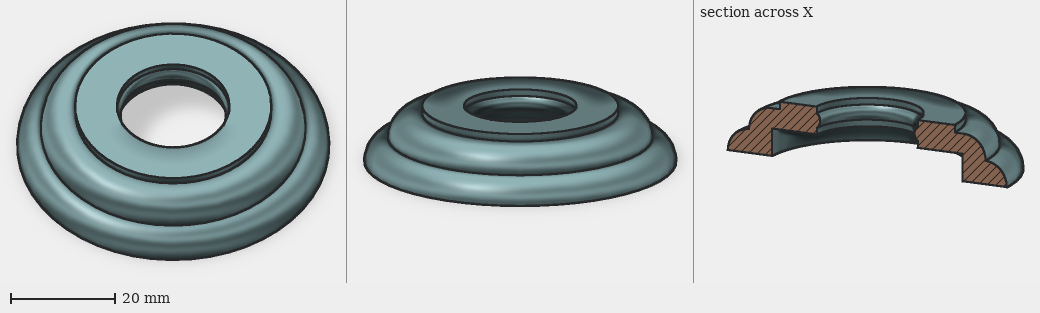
import cadquery as cq

base_radius = 29.95
upper_radius = 25.4
cap_radius = 18.8
total_height = 11.1
tier_height = 4.8
round_radius = tier_height

bore_radius = 10.8
bead_inner_radius = 10.05
bore_length = 5.65
bead_height = 3.0

recess_radius = 20.4

shoulder_height = 2 * tier_height
recess_top = total_height - bore_length
bead_middle = recess_top + bore_length / 2
bead_bottom = bead_middle - bead_height / 2
bead_top = bead_middle + bead_height / 2

profile = (
    cq.Workplane("XZ")
    .moveTo(recess_radius, 0)
    .lineTo(base_radius, 0)
    .radiusArc((upper_radius, tier_height), -round_radius)
    .radiusArc((upper_radius - round_radius, shoulder_height), -round_radius)
    .lineTo(cap_radius, shoulder_height)
    .lineTo(cap_radius, total_height)
    .lineTo(bore_radius, total_height)
    .lineTo(bore_radius, bead_top)
    .threePointArc((bead_inner_radius, bead_middle), (bore_radius, bead_bottom))
    .lineTo(bore_radius, recess_top)
    .lineTo(recess_radius, recess_top)
    .close()
)

result = profile.revolve(360, (0, 0, 0), (0, 1, 0))